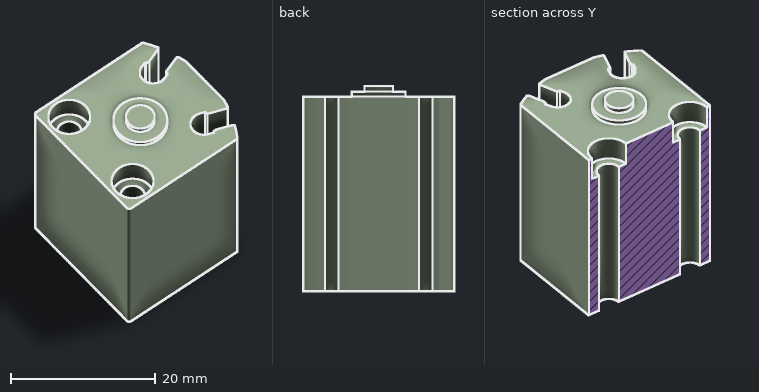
import cadquery as cq
import math

WIDTH = 21.0
HALF_WIDTH = WIDTH / 2
FRONT_Y = -HALF_WIDTH
BACK_Y = 11.5
TOTAL_HEIGHT = 28.5
BODY_HEIGHT = 27.0
COLLAR_HEIGHT = 0.7

CROWN_RADIUS = 19.3
CROWN_FLAT_HALF_WIDTH = 4.15
CORNER_RADIUS = 0.4
CROWN_CORNER_RADIUS = 0.23

COLLAR_DIAMETER = 7.5
ROD_DIAMETER = 4.0
ROD_INSERTION = ROD_DIAMETER

HOLE_OFFSET = 7.0
HOLE_DIAMETER = 3.4
COUNTERBORE_DIAMETER = 5.8
COUNTERBORE_DEPTH = 3.5

SLOT_X = 5.61
SLOT_Y = 6.78
SLOT_LEAN = 20.0
POCKET_RADIUS = 1.85
NECK_HALF_WIDTH = 1.45
NECK_LENGTH = 7.12
LIP_START = 0.83
OUTER_LIP_STEP = 0.2
OUTER_LIP_END = 1.37
INNER_LIP_END = 1.0
MOUTH_RADIUS = 0.2
MOUTH_MIN_X = (CROWN_FLAT_HALF_WIDTH + SLOT_X) / 2
MOUTH_MIN_Y = SLOT_Y + POCKET_RADIUS


def make_body_block():
    """Extrude the body outline, with a crowned back that is flat in the middle."""
    crown_y = BACK_Y - math.sqrt(CROWN_RADIUS**2 - CROWN_FLAT_HALF_WIDTH**2)

    def crown_point(x):
        return x, crown_y + math.sqrt(CROWN_RADIUS**2 - x**2)

    arc_middle_x = (HALF_WIDTH + CROWN_FLAT_HALF_WIDTH) / 2
    block = (
        cq.Workplane("XY")
        .moveTo(-HALF_WIDTH, FRONT_Y)
        .lineTo(HALF_WIDTH, FRONT_Y)
        .lineTo(*crown_point(HALF_WIDTH))
        .threePointArc(crown_point(arc_middle_x), crown_point(CROWN_FLAT_HALF_WIDTH))
        .lineTo(-CROWN_FLAT_HALF_WIDTH, BACK_Y)
        .threePointArc(crown_point(-arc_middle_x), crown_point(-HALF_WIDTH))
        .close()
        .extrude(BODY_HEIGHT)
    )
    block = block.edges("|Z and <Y").fillet(CORNER_RADIUS)
    return block.edges("|Z and (<X or >X)").edges(">Y").fillet(CROWN_CORNER_RADIUS)


def make_left_slot():
    """Make the cutter for the slot on the -X side, leaning outward as it rises in Y."""
    return (
        cq.Workplane("XY")
        .moveTo(-POCKET_RADIUS, 0)
        .threePointArc((0, -POCKET_RADIUS), (POCKET_RADIUS, 0))
        .lineTo(POCKET_RADIUS, LIP_START)
        .lineTo(NECK_HALF_WIDTH, INNER_LIP_END)
        .lineTo(NECK_HALF_WIDTH, NECK_LENGTH)
        .lineTo(-NECK_HALF_WIDTH, NECK_LENGTH)
        .lineTo(-NECK_HALF_WIDTH, OUTER_LIP_END)
        .lineTo(-POCKET_RADIUS + OUTER_LIP_STEP, LIP_START)
        .lineTo(-POCKET_RADIUS, LIP_START)
        .close()
        .extrude(BODY_HEIGHT)
        .rotate((0, 0, 0), (0, 0, 1), SLOT_LEAN)
        .translate((-SLOT_X, SLOT_Y, 0))
    )


def round_slot_mouths(housing):
    """Round the vertical edges where the slot necks open through the crowned back."""
    inner_corner = (MOUTH_MIN_X, MOUTH_MIN_Y, 0)
    outer_corner = (HALF_WIDTH - CORNER_RADIUS, BACK_Y, BODY_HEIGHT)
    right_mouth = cq.selectors.BoxSelector(inner_corner, outer_corner)
    left_mouth = cq.selectors.BoxSelector(
        (-inner_corner[0], *inner_corner[1:]), (-outer_corner[0], *outer_corner[1:])
    )
    return housing.edges("|Z").edges(right_mouth + left_mouth).fillet(MOUTH_RADIUS)


def make_housing():
    """Make the body with its slots, mounting holes, collar and blind rod bore."""
    housing = make_body_block()
    left_slot = make_left_slot()
    housing = housing.cut(left_slot).cut(left_slot.mirror("YZ"))
    housing = round_slot_mouths(housing)
    housing = (
        housing.faces(">Z")
        .workplane(origin=(0, 0, BODY_HEIGHT))
        .pushPoints([(-HOLE_OFFSET, -HOLE_OFFSET), (HOLE_OFFSET, -HOLE_OFFSET)])
        .cboreHole(HOLE_DIAMETER, COUNTERBORE_DIAMETER, COUNTERBORE_DEPTH)
    )
    collar = (
        cq.Workplane("XY", origin=(0, 0, BODY_HEIGHT))
        .circle(COLLAR_DIAMETER / 2)
        .extrude(COLLAR_HEIGHT)
    )
    return housing.union(collar).cut(make_rod())


def make_rod():
    """Make the rod, which fills its bore and stands above the collar."""
    rod_bottom = BODY_HEIGHT - ROD_INSERTION
    return (
        cq.Workplane("XY", origin=(0, 0, rod_bottom))
        .circle(ROD_DIAMETER / 2)
        .extrude(TOTAL_HEIGHT - rod_bottom)
    )


housing = make_housing()
rod = make_rod()
result = cq.Compound.makeCompound([housing.val(), rod.val()])